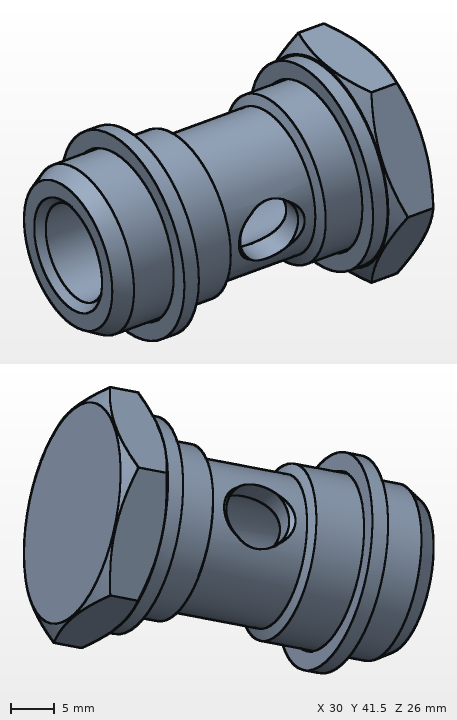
import cadquery as cq
import math

total_length = 41.5

head_across_flats = 26.0
head_thickness = 6.0
head_chamfer_radius = 12.85
head_chamfer_angle = 30.0

washer_radius = 12.7
washer_bore_radius = 10.5
washer_thickness = 2.0
tip_washer_start = 7.5

shank_radius = 10.35
waist_radius = 9.0
waist_start = 16.0
waist_end = 28.0
shoulder_bevel = 0.55
tip_bevel_length = 2.15
tip_bevel_angle = 30.0

bore_radius = 6.0
bore_depth = 32.0
bore_point_angle = 118.0
mouth_radius = 6.97
mouth_angle = 45.0

cross_hole_radius = 4.0
cross_hole_rim_radius = 4.52
countersink_half_angle = 45.0

head_start = total_length - head_thickness
cross_hole_position = (waist_start + waist_end) / 2


def tan_deg(angle):
    return math.tan(math.radians(angle))


def revolve_about_y(points):
    """Turn a closed (radius, y) outline around the Y axis."""
    return cq.Workplane("XY").polyline(points).close().revolve(360, (0, 0, 0), (0, 1, 0))


def revolve_about_x(points):
    """Turn a closed (x, radius) outline around the X axis."""
    return cq.Workplane("XY").polyline(points).close().revolve(360, (0, 0, 0), (1, 0, 0))


def make_head():
    """Hexagon with corners on X, its corners bevelled at both ends by cones."""
    corner_radius = head_across_flats / math.sqrt(3)
    hexagon = (
        cq.Workplane("XZ", origin=(0, total_length, 0))
        .polygon(6, 2 * corner_radius)
        .extrude(head_thickness)
    )
    bevel_drop = (corner_radius - head_chamfer_radius) * tan_deg(head_chamfer_angle)
    bevel_envelope = revolve_about_y([
        (0, head_start),
        (head_chamfer_radius, head_start),
        (corner_radius, head_start + bevel_drop),
        (corner_radius, total_length - bevel_drop),
        (head_chamfer_radius, total_length),
        (0, total_length),
    ])
    return hexagon.intersect(bevel_envelope)


def make_shank():
    tip_radius = shank_radius - tip_bevel_length * tan_deg(tip_bevel_angle)
    return revolve_about_y([
        (0, 0),
        (tip_radius, 0),
        (shank_radius, tip_bevel_length),
        (shank_radius, waist_start - shoulder_bevel),
        (waist_radius, waist_start),
        (waist_radius, waist_end),
        (shank_radius, waist_end + shoulder_bevel),
        (shank_radius, head_start),
        (0, head_start),
    ])


def make_bore():
    mouth_depth = (mouth_radius - bore_radius) / tan_deg(mouth_angle)
    point_length = bore_radius / tan_deg(bore_point_angle / 2)
    return revolve_about_y([
        (0, 0),
        (mouth_radius, 0),
        (bore_radius, mouth_depth),
        (bore_radius, bore_depth),
        (0, bore_depth + point_length),
    ])


def make_cross_hole():
    """Through hole along X, with a countersink opening outwards at each end."""
    slope = tan_deg(countersink_half_angle)
    countersink_start = waist_radius - (cross_hole_rim_radius - cross_hole_radius) / slope
    cutter_end = shank_radius
    cutter_end_radius = cross_hole_radius + (cutter_end - countersink_start) * slope
    return revolve_about_x([
        (-cutter_end, 0),
        (-cutter_end, cutter_end_radius),
        (-countersink_start, cross_hole_radius),
        (countersink_start, cross_hole_radius),
        (cutter_end, cutter_end_radius),
        (cutter_end, 0),
    ]).translate((0, cross_hole_position, 0))


def make_bolt():
    return make_head().union(make_shank()).cut(make_bore()).cut(make_cross_hole())


def make_washer(start):
    """Flat ring that fits loosely around the shank, reaching from start towards the head."""
    return (
        cq.Workplane("XZ", origin=(0, start + washer_thickness, 0))
        .circle(washer_radius)
        .circle(washer_bore_radius)
        .extrude(washer_thickness)
    )


bolt = make_bolt()
washer_starts = [tip_washer_start, head_start - washer_thickness]
washers = [make_washer(start).val() for start in washer_starts]

result = cq.Compound.makeCompound([bolt.val(), *washers])